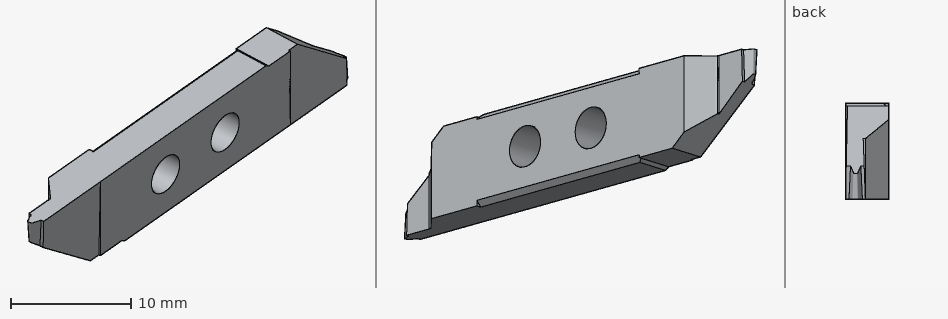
import cadquery as cq
import math

thickness, length, height = 3.6, 40.0, 8.0
half_x, half_y, half_z = thickness / 2, length / 2, height / 2

land_end = 9.3
land_ramp = 0.35
land_step = 0.25
slope_start = 13.1
nose_height = 2.1

bevel = 0.5
hole_diameter = 3.55
hole_offset = 3.75

blade_side = 0.15
neck_start = 14.45
neck_end = neck_start + half_x + blade_side
neck_radius = 0.45
blade_relief = math.radians(2)
outer_relief = math.radians(1.2)
outer_relief_start = 12.0

tip_length = 0.85
tip_root_depth = 0.6
shoulder = half_y - tip_length
tip_x = 0.95
tip_root_width = 1.1
tip_nose_width = 0.45
tip_corner_radius = 0.1
tip_draft = 2.5
rake_drop = 0.02
end_slope = (height - land_step - nose_height) / (half_y - slope_start)
tip_height = nose_height + tip_length * end_slope


def half_turn(shape):
    """Turn a shape half way round the X axis, onto the opposite end."""
    return shape.rotate((0, 0, 0), (1, 0, 0), 180)


def make_body():
    upper = [
        (half_y, -half_z),
        (half_y, nose_height - half_z),
        (slope_start, half_z - land_step),
        (land_end, half_z - land_step),
        (land_end - land_ramp, half_z),
    ]
    lower = [(-y, -z) for y, z in upper]
    return cq.Workplane("YZ", origin=(-half_x, 0, 0)).polyline(upper + lower).close().extrude(thickness)


def bevel_cutter():
    corner = [(-half_x, half_z), (-half_x + bevel, half_z), (-half_x, half_z - bevel)]
    return cq.Workplane("XZ").polyline(corner).close().extrude(land_end, both=True)


def neck_cutter():
    """Clear the -X side beside the blade, with a rounded inner corner."""
    outline = [
        (-half_x, neck_start),
        (blade_side, neck_end),
        (blade_side, half_y),
        (-half_x, half_y),
    ]
    block = cq.Workplane("XY").polyline(outline).close().extrude(half_z, both=True)
    inner_corner = cq.selectors.NearestToPointSelector((blade_side, neck_end, 0))
    return block.edges(inner_corner).fillet(neck_radius)


def relief_cutter(side_x, lean_angle, start):
    """Wedge that leans a side toward +X (or -X if negative), away from the cutting edge at the bottom."""
    lean = height * math.tan(lean_angle)
    wedge = [(side_x, -half_z), (side_x + lean, half_z), (side_x, half_z)]
    return cq.Workplane("XZ", origin=(0, start, 0)).polyline(wedge).close().extrude(start - half_y)


def tip_cutter():
    """Everything beyond the shoulder except the tapered cutting tip."""
    end_block = cq.Workplane("XY").box(thickness, tip_length, height).translate(
        (0, shoulder + tip_length / 2, 0)
    )
    root, nose = tip_root_width / 2, tip_nose_width / 2
    flank_slope = (root - nose) / tip_length
    wide = root + tip_root_depth * flank_slope
    outline = [
        (tip_x - wide, shoulder - tip_root_depth),
        (tip_x - nose, half_y),
        (tip_x + nose, half_y),
        (tip_x + wide, shoulder - tip_root_depth),
    ]
    tip = cq.Workplane("XY", origin=(0, 0, -half_z)).polyline(outline).close()
    tip = tip.extrude(tip_height, taper=tip_draft)
    for side in (-1, 1):
        corner = cq.selectors.NearestToPointSelector((tip_x + side * nose, half_y, tip_height / 2 - half_z))
        tip = tip.edges("not #Z").edges(corner).fillet(tip_corner_radius)
    return end_block.cut(tip)


def rake_cutter():
    """Shallow facet that tilts the cutting face away toward the nose."""
    wedge = [(shoulder, -half_z), (half_y, -half_z), (half_y, rake_drop - half_z)]
    return cq.Workplane("YZ").polyline(wedge).close().extrude(half_x, both=True)


cutters = [
    bevel_cutter(),
    neck_cutter(),
    relief_cutter(blade_side, blade_relief, neck_end),
    relief_cutter(half_x, -outer_relief, outer_relief_start),
    tip_cutter(),
    rake_cutter(),
]

result = make_body()
for cutter in cutters:
    result = result.cut(cutter).cut(half_turn(cutter))

holes = (
    cq.Workplane("YZ", origin=(-half_x, 0, 0))
    .pushPoints([(-hole_offset, 0), (hole_offset, 0)])
    .circle(hole_diameter / 2)
    .extrude(thickness)
)
result = result.cut(holes)